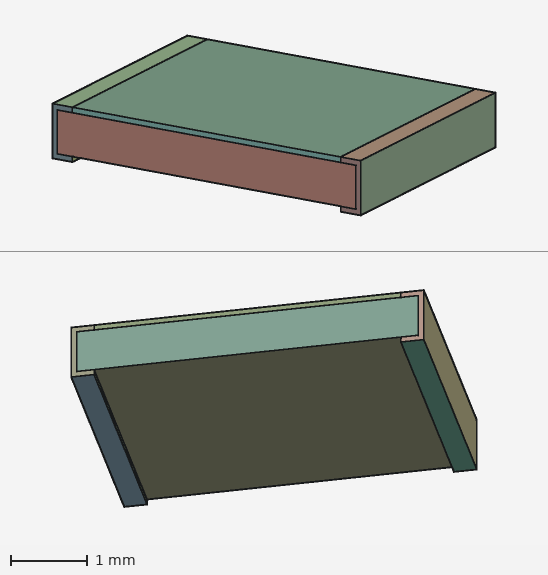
import cadquery as cq

LENGTH = 4.7
WIDTH = 3.4
HEIGHT = 0.75

PLATING = 0.075
CAP_REACH = 0.305

SUBSTRATE_LENGTH = LENGTH - 2 * PLATING
SUBSTRATE_HEIGHT = HEIGHT - 2 * PLATING
COATING_LENGTH = LENGTH - 2 * CAP_REACH


def block(length, height, centre_x, bottom_z):
    """Full-width block, centred on Y."""
    return (
        cq.Workplane("XY")
        .box(length, WIDTH, height, centered=(True, True, False))
        .translate((centre_x, 0, bottom_z))
    )


def make_substrate():
    """Plain slab that carries the coating and the caps."""
    return block(SUBSTRATE_LENGTH, SUBSTRATE_HEIGHT, 0, PLATING)


def make_coating():
    """Layer on top of the substrate, between the end caps."""
    return block(COATING_LENGTH, PLATING, 0, HEIGHT - PLATING)


def make_end_cap(side):
    """C-shaped terminal wrapped around one end; side is -1 or 1 along X."""
    cap = block(CAP_REACH, HEIGHT, side * (LENGTH - CAP_REACH) / 2, 0)
    return cap.cut(make_substrate())


substrate = make_substrate()
coating = make_coating()
end_caps = [make_end_cap(side) for side in (-1, 1)]

result = cq.Compound.makeCompound(
    [substrate.val(), coating.val(), *[cap.val() for cap in end_caps]]
)